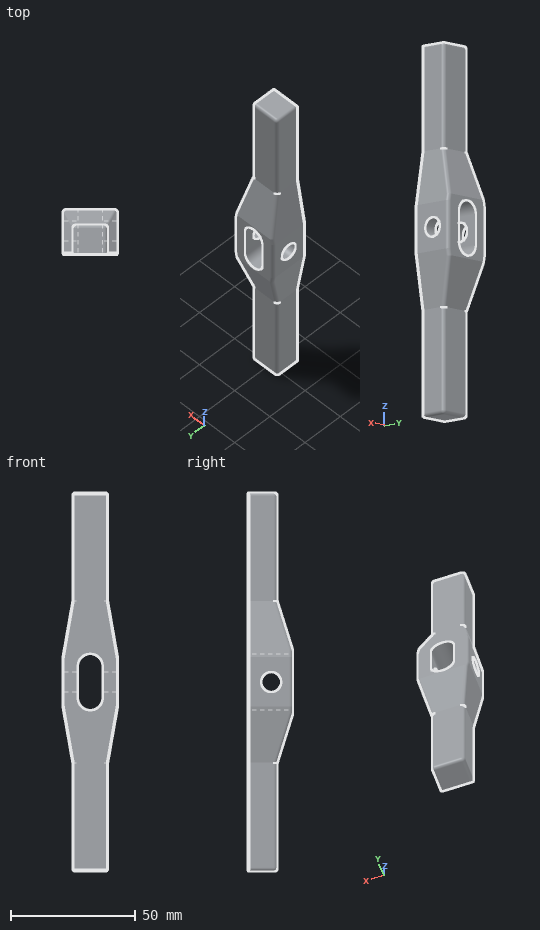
import cadquery as cq
import math

length = 152.4
hub_width = 22.3
hub_depth = 18.5
arm_width = 14.3
arm_depth = 12.2

side_flat_half = 9.9
back_flat_half = 12.6
taper_end = 32.5

slot_width = 9.9
slot_length = 22.5
pin_diameter = 8.0
pin_position = 9.6

rounding = 1.5
front_bevel_short = 0.5
front_bevel_long = 0.9

plane_gap = 0.02

half_length = length / 2


def outline_at(depth):
    """Closed outline of the hub and arms on the plane Y = depth.

    The arms run past the ends of the part and are trimmed by the side outline.
    """
    hub = hub_width / 2
    arm = arm_width / 2
    right_side = [
        (arm, -length),
        (arm, -taper_end),
        (hub, -side_flat_half),
        (hub, side_flat_half),
        (arm, taper_end),
        (arm, length),
    ]
    left_side = [(-x, z) for x, z in reversed(right_side)]
    plane = cq.Workplane("XZ", origin=(0, depth, 0))
    return plane.polyline(right_side + left_side).close()


def bevelled_outline():
    """Hub and arms through the full depth, with the sides bevelled near the front face."""
    bevel_angle = math.degrees(math.atan(front_bevel_short / front_bevel_long))
    straight_part = outline_at(front_bevel_long).extrude(front_bevel_long - hub_depth)
    bevelled_part = outline_at(front_bevel_long).extrude(front_bevel_long, taper=bevel_angle)
    return straight_part.union(bevelled_part)


def side_outline():
    """Flat front and raised hub back, seen along X, across the width."""
    points = [
        (0, -half_length),
        (arm_depth, -half_length),
        (arm_depth, -taper_end),
        (hub_depth, -back_flat_half),
        (hub_depth, back_flat_half),
        (arm_depth, taper_end),
        (arm_depth, half_length),
        (0, half_length),
    ]
    return cq.Workplane("YZ").polyline(points).close().extrude(hub_width / 2, both=True)


def back_sides(quarter):
    """Edges where the back of the quarter meets its side."""
    return [
        edge
        for edge in quarter.edges("not |X").vals()
        if edge.BoundingBox().ymin > front_bevel_long + plane_gap
        and edge.BoundingBox().xmax > plane_gap
        and edge.BoundingBox().zmin < half_length - plane_gap
    ]


def end_rim(quarter):
    """Edges around the end of the arm, except at the front face and on the cut plane."""
    return [
        edge
        for edge in quarter.faces(">Z").edges("not <Y").vals()
        if edge.BoundingBox().xmax > plane_gap
    ]


def end_bevel():
    """Wedge removed along the edge between the front face and the +Z end."""
    corners = [
        (0, half_length),
        (front_bevel_short, half_length),
        (0, half_length - front_bevel_long),
    ]
    return cq.Workplane("YZ").polyline(corners).close().extrude(hub_width / 2, both=True)


quarter_space = cq.Workplane("XY").box(
    hub_width, hub_depth, half_length, centered=(False, False, False)
)
quarter = outline_at(0).extrude(-hub_depth).intersect(side_outline()).intersect(quarter_space)
quarter = quarter.newObject(back_sides(quarter)).fillet(rounding)
quarter = quarter.newObject(end_rim(quarter)).fillet(rounding)
quarter = quarter.intersect(bevelled_outline()).cut(end_bevel())
half = quarter.union(quarter.mirror("YZ"))
body = half.union(half.mirror("XY")).clean()

slot = cq.Workplane("XZ").slot2D(slot_length, slot_width, 90).extrude(-hub_depth)
pin_hole = (
    cq.Workplane("YZ").center(pin_position, 0).circle(pin_diameter / 2).extrude(hub_width / 2, both=True)
)
result = body.cut(slot).cut(pin_hole)